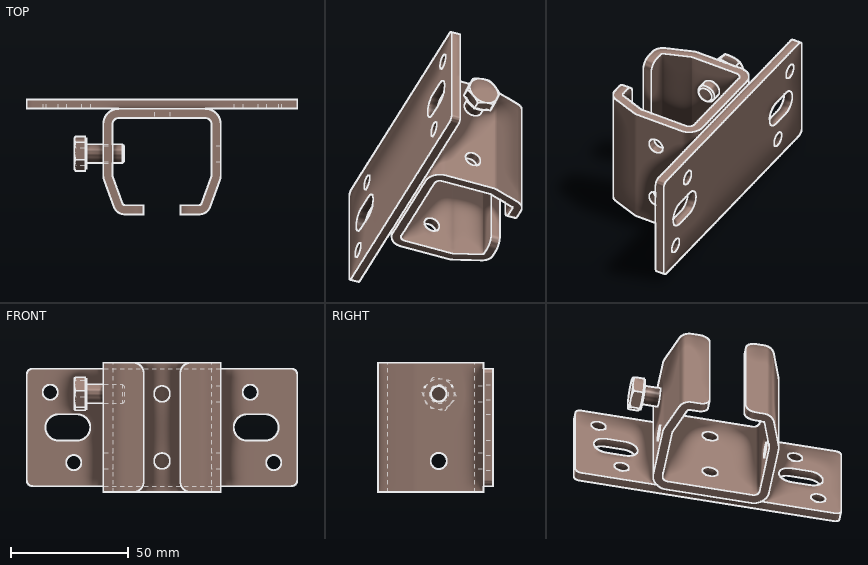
import cadquery as cq
import math


plate_length = 115.0
plate_height = 50.0
plate_thickness = 4.0
plate_corner_radius = 2.5
screw_hole_diameter = 6.3
outer_screw_x = 47.5
inner_screw_x = 37.5
screw_z = 15.0
slot_x = 40.0
slot_length = 19.0
slot_width = 11.0

channel_width = 50.0
channel_depth = 45.0
channel_height = 55.0
wall = 4.0
lean_angle = 20.0
lean_start_depth = 29.3
mouth_width = 15.5
back_inner_radius = 2.5
lean_inner_radius = 1.0
lip_inner_radius = 1.0
lip_corner_radius = 4.5
channel_hole_diameter = 6.8
channel_hole_z = 14.3
side_hole_depth = 19.1

shank_diameter = 8.0
shank_length = 16.0
shank_tip_chamfer = 0.8
head_height = 5.3
head_across_flats = 13.0
washer_face_height = 0.6
neck_radius = 0.3
head_chamfer_angle = 30.0
head_turn = 10.0
head_gap = 7.0


def make_plate():
    """Rounded flat plate with two slots and four screw holes."""
    plate = (
        cq.Workplane("XY")
        .box(plate_length, plate_thickness, plate_height, centered=(True, False, True))
        .edges("|Y")
        .fillet(plate_corner_radius)
    )
    screw_points = [
        (-outer_screw_x, screw_z),
        (-inner_screw_x, -screw_z),
        (inner_screw_x, screw_z),
        (outer_screw_x, -screw_z),
    ]
    screw_holes = (
        cq.Workplane("XZ")
        .pushPoints(screw_points)
        .circle(screw_hole_diameter / 2)
        .extrude(-plate_thickness)
    )
    slots = (
        cq.Workplane("XZ")
        .pushPoints([(-slot_x, 0), (slot_x, 0)])
        .slot2D(slot_length, slot_width)
        .extrude(-plate_thickness)
    )
    return plate.cut(screw_holes).cut(slots)


def channel_corners():
    """Sharp outer and inner corners of the right half, from the back to the lip."""
    lean = math.radians(lean_angle)
    half_width = channel_width / 2
    lip_x = half_width - (channel_depth - lean_start_depth) * math.tan(lean)
    lean_shift = wall * math.tan(lean / 2)
    lip_shift = wall * math.tan((math.pi / 2 - lean) / 2)
    outer = [
        (half_width, 0),
        (half_width, -lean_start_depth),
        (lip_x, -channel_depth),
    ]
    inner = [
        (half_width - wall, -wall),
        (half_width - wall, -lean_start_depth + lean_shift),
        (lip_x - lip_shift, -channel_depth + wall),
    ]
    return outer, inner


def fillet_upright_edges(body, corner, radius):
    """Round the vertical edge at a corner and its mirror image."""
    x, y = corner
    for side in (-1, 1):
        edge = cq.selectors.NearestToPointSelector((side * x, y, 0))
        body = body.edges("|Z").edges(edge).fillet(radius)
    return body


def make_channel():
    """C-shaped channel with rounded folds, rounded lips and drilled walls."""
    outer, inner = channel_corners()
    lip_end = [
        (mouth_width / 2, -channel_depth),
        (mouth_width / 2, -channel_depth + wall),
    ]
    right_half = outer + lip_end + inner[::-1]
    left_half = [(-x, y) for x, y in reversed(right_half)]
    channel = (
        cq.Workplane("XY")
        .polyline(right_half + left_half)
        .close()
        .extrude(channel_height / 2, both=True)
    )

    inner_radii = [back_inner_radius, lean_inner_radius, lip_inner_radius]
    for outer_corner, inner_corner, radius in zip(outer, inner, inner_radii):
        channel = fillet_upright_edges(channel, outer_corner, radius + wall)
        channel = fillet_upright_edges(channel, inner_corner, radius)

    for side in (-1, 1):
        lip_face = cq.selectors.NearestToPointSelector((side * mouth_width / 2, -channel_depth, 0))
        channel = channel.faces("|X").faces(lip_face).edges("|Y").fillet(lip_corner_radius)

    back_holes = (
        cq.Workplane("XZ")
        .pushPoints([(0, -channel_hole_z), (0, channel_hole_z)])
        .circle(channel_hole_diameter / 2)
        .extrude(wall)
    )
    side_holes = (
        cq.Workplane("YZ")
        .pushPoints([(-side_hole_depth, -channel_hole_z), (-side_hole_depth, channel_hole_z)])
        .circle(channel_hole_diameter / 2)
        .extrude(channel_width / 2, both=True)
    )
    bolt_hole = (
        cq.Workplane("YZ")
        .center(-side_hole_depth, channel_hole_z)
        .circle(shank_diameter / 2)
        .extrude(-channel_width / 2)
    )
    return channel.cut(back_holes).cut(side_holes).cut(bolt_hole)


def make_bolt():
    """Hexagon bolt along +X, with its head outside the left side wall."""
    head_across_corners = head_across_flats / math.cos(math.pi / 6)
    hexagon = (
        cq.Workplane("YZ")
        .polygon(6, head_across_corners)
        .extrude(head_height - washer_face_height)
    )
    bevel_width = (head_across_corners - head_across_flats) / 2
    bevel_height = bevel_width * math.tan(math.radians(head_chamfer_angle))
    blank = (
        cq.Workplane("YZ")
        .circle(head_across_corners / 2)
        .extrude(head_height)
        .faces("<X")
        .chamfer(bevel_height, bevel_width)
    )
    washer_face = cq.Workplane("YZ").circle(head_across_flats / 2).extrude(head_height)
    shank = (
        cq.Workplane("YZ")
        .circle(shank_diameter / 2)
        .extrude(head_height + shank_length)
        .faces(">X")
        .chamfer(shank_tip_chamfer)
    )
    head = hexagon.union(washer_face).intersect(blank)
    bolt = (
        head.union(shank)
        .faces(cq.selectors.NearestToPointSelector((head_height, 0, 0)))
        .edges(cq.selectors.RadiusNthSelector(0))
        .fillet(neck_radius)
    )
    head_top_x = -channel_width / 2 - head_gap - head_height
    return (
        bolt.rotate((0, 0, 0), (1, 0, 0), -head_turn)
        .translate((head_top_x, -side_hole_depth, channel_hole_z))
    )


plate = make_plate()
channel = make_channel()
bolt = make_bolt()

result = cq.Compound.makeCompound([plate.val(), channel.val(), bolt.val()])